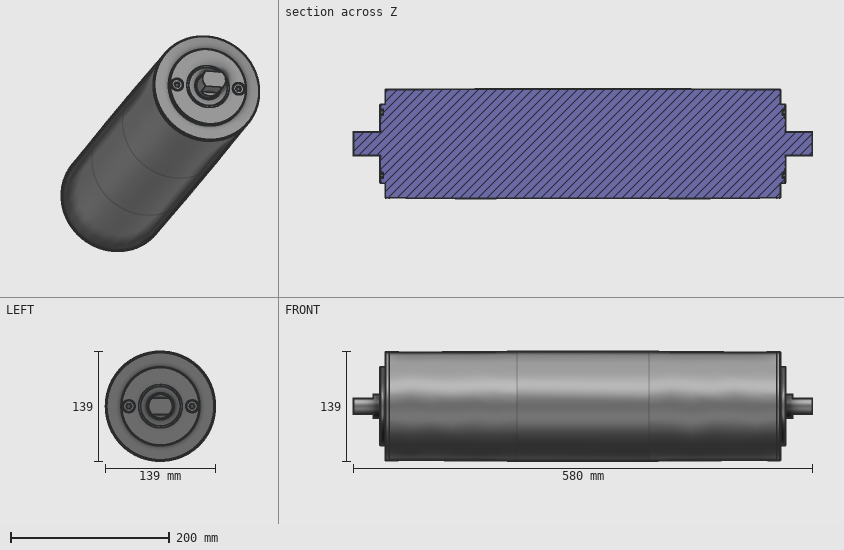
import cadquery as cq

shaft_length = 580.0
shaft_diameter = 30.0
flat_length = 25.0
across_flats = 20.0

shell_length = 500.0
crown_diameter = 139.0
end_diameter = 137.5
crown_length = shell_length / 3

rim_diameter = 137.48
rim_length = 5.0
rim_bevel = 1.0
hub_diameter = 100.0
hub_height = 6.5
hub_bevel = 1.0

seal_diameter = 55.0
seal_groove_width = 2.5
seal_groove_depth = 0.2
shaft_clearance_diameter = 34.0
shaft_clearance_depth = 0.5

screw_offset = 40.0
screw_seat_diameter = 16.0
screw_seat_depth = 1.0
screw_head_diameter = 14.0
screw_head_height = 0.9
screw_socket_corner_diameter = 6.9
screw_socket_depth = 4.0

shell_end = shell_length / 2
hub_face = shell_end + hub_height
shaft_end = shaft_length / 2


def disc(diameter, start, end, y=0.0):
    """Cylinder along X from start to end, with its axis at the given Y."""
    plane = cq.Workplane("YZ", origin=(start, y, 0))
    return plane.circle(diameter / 2).extrude(end - start)


def make_shell():
    """Crowned roller body, revolved about the X axis."""
    crown_end = crown_length / 2
    rim_start = shell_end - rim_length
    bevel_start = shell_end - rim_bevel
    right_side = [
        (crown_end, crown_diameter / 2),
        (rim_start, end_diameter / 2),
        (rim_start, rim_diameter / 2),
        (bevel_start, rim_diameter / 2),
        (shell_end, rim_diameter / 2 - rim_bevel),
        (shell_end, 0),
    ]
    left_side = [(-x, radius) for x, radius in reversed(right_side)]
    outline = cq.Workplane("XY").polyline(left_side + right_side).close()
    return outline.revolve(360, (0, 0, 0), (1, 0, 0))


def hex_socket(head_top, y):
    """Hexagonal socket sunk along X into a screw head, with corners towards +Y and -Y."""
    plane = cq.Workplane("YZ", origin=(head_top, y, 0))
    return plane.polygon(6, screw_socket_corner_diameter).extrude(-screw_socket_depth)


def make_hub():
    """Raised hub on the +X end, with its seal groove, shaft recess and screws."""
    hub = disc(hub_diameter, shell_end, hub_face).faces(">X").chamfer(hub_bevel)
    groove_floor = hub_face - seal_groove_depth
    seal_face_diameter = seal_diameter - 2 * seal_groove_width
    groove = disc(seal_diameter, groove_floor, hub_face)
    hub = hub.cut(groove.cut(disc(seal_face_diameter, groove_floor, hub_face)))
    hub = hub.cut(disc(shaft_clearance_diameter, hub_face - shaft_clearance_depth, hub_face))
    for y in (-screw_offset, screw_offset):
        seat_floor = hub_face - screw_seat_depth
        head_top = seat_floor + screw_head_height
        hub = hub.cut(disc(screw_seat_diameter, seat_floor, hub_face, y))
        hub = hub.union(disc(screw_head_diameter, seat_floor, head_top, y))
        hub = hub.cut(hex_socket(head_top, y))
    return hub


def make_shaft():
    """Round shaft with two parallel flats at each end."""
    shaft = disc(shaft_diameter, -shaft_end, shaft_end)
    tongue = cq.Workplane("XY").box(shaft_length, shaft_diameter, across_flats)
    round_length = shaft_length - 2 * flat_length
    round_part = disc(shaft_diameter, -round_length / 2, round_length / 2)
    return shaft.intersect(tongue).union(round_part)


hub = make_hub()
result = make_shell().union(hub).union(hub.mirror("YZ")).union(make_shaft())